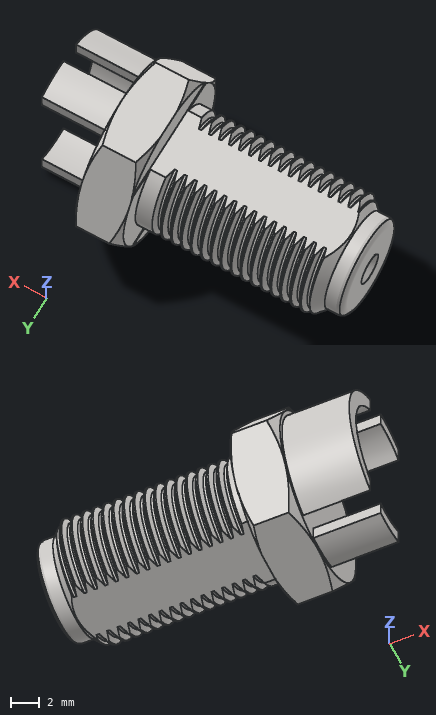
import cadquery as cq
import math


TOTAL_LENGTH = 24.89
HEX_START = 16.0
HEX_END = 19.79
RIM_LENGTH = 1.4

RIM_RADIUS = 3.82
FACE_RADIUS = 3.17
ROUND_MIDPOINT = (0.08, 3.52)
ROUND_END = (0.25, 3.75)
TAPER_END_X = 0.47
COUNTERSINK_RADIUS = 1.16
LIP_RADIUS = 0.62
LIP_LENGTH = 0.2
HOLE_RADIUS = 0.55
HOLE_DEPTH = 3.0

BARREL_RADIUS = 4.71
FLAT_HEIGHT = 3.92
FLAT_RELIEF = 0.06

THREAD_PITCH = 25.4 / 32
THREAD_DEPTH = 0.41
THREAD_ROOT_WIDTH = 0.2
THREAD_HALF_ANGLE = 30.0
FIRST_GROOVE_X = 2.41
LEAD_IN_TURNS = 0.75
FULL_GROOVES = 15
RUN_OUT_TURNS = 0.75
GROOVE_OVERSHOOT = 0.1

HEX_ACROSS_FLATS = 12.7
HEX_CHAMFER_ANGLE = 30.0

LEG_OUTER_RADIUS = 6.01
LEG_INNER_RADIUS = 4.85
FRONT_LEG_Y = -2.47
PRONG_MIN_Y = -0.75
PRONG_MAX_Y = 2.25


def box_between(low, high):
    """Axis-aligned box spanning two opposite corners."""
    size = [b - a for a, b in zip(low, high)]
    return cq.Workplane("XY").box(*size, centered=False).translate(low)


def revolve_about_x(points):
    """Solid of revolution from a closed outline of (x, radius) points."""
    return cq.Workplane("XY").polyline(points).close().revolve(360, (0, 0, 0), (1, 0, 0))


def make_barrel():
    """Rounded rim, 45 degree lead-in cone and plain barrel, up to the hex."""
    cone_end = RIM_LENGTH + BARREL_RADIUS - RIM_RADIUS
    barrel_end = HEX_START + FLAT_RELIEF
    return (
        cq.Workplane("XY")
        .lineTo(0, FACE_RADIUS)
        .threePointArc(ROUND_MIDPOINT, ROUND_END)
        .lineTo(TAPER_END_X, RIM_RADIUS)
        .lineTo(RIM_LENGTH, RIM_RADIUS)
        .lineTo(cone_end, BARREL_RADIUS)
        .lineTo(barrel_end, BARREL_RADIUS)
        .lineTo(barrel_end, 0)
        .close()
        .revolve(360, (0, 0, 0), (1, 0, 0))
    )


def make_thread_groove():
    """Helical groove that starts and ends where the flats remove the barrel surface."""
    turns = LEAD_IN_TURNS + FULL_GROOVES + RUN_OUT_TURNS
    start_x = FIRST_GROOVE_X - LEAD_IN_TURNS * THREAD_PITCH
    flank_slope = math.tan(math.radians(THREAD_HALF_ANGLE))
    root_radius = BARREL_RADIUS - THREAD_DEPTH
    mouth_radius = BARREL_RADIUS + GROOVE_OVERSHOOT
    root_half = THREAD_ROOT_WIDTH / 2
    mouth_half = root_half + (mouth_radius - root_radius) * flank_slope

    helix = cq.Wire.makeHelix(THREAD_PITCH, turns * THREAD_PITCH, root_radius)
    groove = (
        cq.Workplane("XZ")
        .polyline([
            (root_radius, -root_half),
            (mouth_radius, -mouth_half),
            (mouth_radius, mouth_half),
            (root_radius, root_half),
        ])
        .close()
        .sweep(cq.Workplane(helix), isFrenet=True)
    )
    start_plane = cq.Plane(origin=(start_x, 0, 0), xDir=(0, 0, 1), normal=(1, 0, 0))
    return groove.val().moved(start_plane.location)


def make_flatted_slab():
    """Space between the two flats."""
    return box_between(
        (0, -BARREL_RADIUS, -FLAT_HEIGHT),
        (HEX_START + FLAT_RELIEF, BARREL_RADIUS, FLAT_HEIGHT),
    )


def make_hex():
    """Hexagon with corners on the Y axis and both ends chamfered to its inscribed circle."""
    corner_radius = HEX_ACROSS_FLATS / math.sqrt(3)
    flat_radius = HEX_ACROSS_FLATS / 2
    chamfer_length = (corner_radius - flat_radius) * math.tan(math.radians(HEX_CHAMFER_ANGLE))
    prism = (
        cq.Workplane("YZ", origin=(HEX_START, 0, 0))
        .polygon(6, 2 * corner_radius)
        .extrude(HEX_END - HEX_START)
    )
    envelope = revolve_about_x([
        (HEX_START, 0),
        (HEX_START, flat_radius),
        (HEX_START + chamfer_length, corner_radius),
        (HEX_END - chamfer_length, corner_radius),
        (HEX_END, flat_radius),
        (HEX_END, 0),
    ])
    nut = prism.intersect(envelope)
    for side in (-1, 1):
        z_low, z_high = sorted((side * FLAT_HEIGHT, side * flat_radius))
        nut = nut.cut(box_between(
            (HEX_START, -corner_radius, z_low),
            (HEX_START + FLAT_RELIEF, corner_radius, z_high),
        ))
    return nut


def make_legs():
    """One wide arc leg on the -Y side and two narrow prongs above and below the axis."""
    ring = (
        cq.Workplane("YZ", origin=(HEX_END, 0, 0))
        .circle(LEG_OUTER_RADIUS)
        .circle(LEG_INNER_RADIUS)
        .extrude(TOTAL_LENGTH - HEX_END)
    )
    reach = LEG_OUTER_RADIUS
    wide_leg = box_between((HEX_END, -reach, -reach), (TOTAL_LENGTH, FRONT_LEG_Y, reach))
    prongs = box_between((HEX_END, PRONG_MIN_Y, -reach), (TOTAL_LENGTH, PRONG_MAX_Y, reach))
    return ring.intersect(wide_leg.union(prongs))


def make_contact_hole():
    """Blind hole with a 45 degree countersink, a short lip and a 45 degree step to the bore."""
    lip_start = COUNTERSINK_RADIUS - LIP_RADIUS
    lip_end = lip_start + LIP_LENGTH
    bore_start = lip_end + LIP_RADIUS - HOLE_RADIUS
    return revolve_about_x([
        (0, 0),
        (0, COUNTERSINK_RADIUS),
        (lip_start, LIP_RADIUS),
        (lip_end, LIP_RADIUS),
        (bore_start, HOLE_RADIUS),
        (HOLE_DEPTH, HOLE_RADIUS),
        (HOLE_DEPTH, 0),
    ])


barrel = make_barrel().cut(cq.Workplane(make_thread_groove())).intersect(make_flatted_slab())
result = barrel.union(make_hex()).union(make_legs()).cut(make_contact_hole())